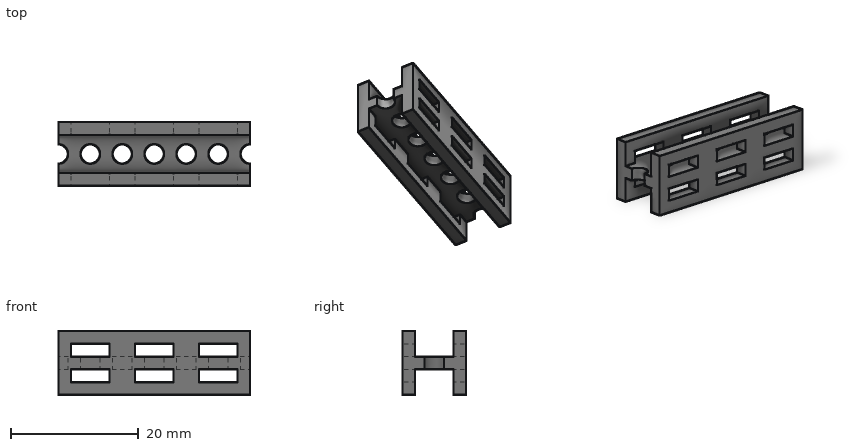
import cadquery as cq

length = 30
height = length / 3
width = height
wall = height / 5

hole_diameter = 3
hole_spaces = 6
hole_pitch = length / hole_spaces

slot_length = 6
slot_height = wall
slot_columns = 3
slot_rows = 2
slot_pitch = length / slot_columns
slot_row_pitch = wall + slot_height


def make_beam():
    """H-section: two upright flanges joined by a web at mid height."""
    web = cq.Workplane("XY").box(length, width, wall)
    flange = cq.Workplane("XY").box(length, wall, height)
    flange_offset = (width - wall) / 2
    beam = web
    for side in (-1, 1):
        beam = beam.union(flange.translate((0, side * flange_offset, 0)))
    return beam


def make_web_holes():
    """Row of vertical cutters along the web; the end ones leave half-round notches."""
    return (
        cq.Workplane("XY")
        .rarray(hole_pitch, 0.3, hole_spaces + 1, 1)
        .circle(hole_diameter / 2)
        .extrude(wall, both=True)
    )


def make_flange_slots():
    """Grid of rectangular cutters passing through both flanges."""
    return (
        cq.Workplane("XZ")
        .rarray(slot_pitch, slot_row_pitch, slot_columns, slot_rows)
        .rect(slot_length, slot_height)
        .extrude(width, both=True)
    )


result = make_beam().cut(make_web_holes()).cut(make_flange_slots())